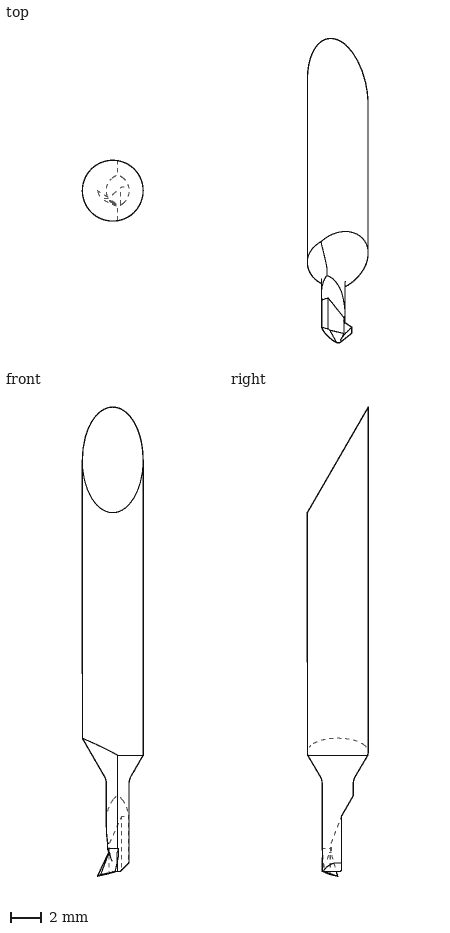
import cadquery as cq
import math

length = 30.7
shank_radius = 2.0
top_bevel_angle = 60.0

neck_radius = 1.07
axis_offset = 0.65
cone_base_z = 7.92
cone_half_angle = 30.0
neck_fillet = 1.0
bar_end_z = 0.3
end_bevel_top_z = 0.9
end_bevel_x = 0.5

tip_x = -1.0
flute_root = (-0.25, -0.45)
flute_ledge = (0.58, 0.25)
runout_bend_z = 3.93
runout_angle = 60.0
runout_steep_angle = 69.0

shoulder_z = 1.8
throat_z = 1.57
core_step = 0.05
wedge_shift = 0.58
land_corner = (-0.83, -0.52)
heel = (0.15, -1.05)
joint_bottom_x = 0.15
joint_top_x = 0.43
end_clearance_angle = 10.0
end_edge_angle = 7.0

margin = 3.07


def box_between(low, high):
    size = [b - a for a, b in zip(low, high)]
    return cq.Workplane("XY").box(*size, centered=False).translate(low)


def neck_form(outer_radius, axis_x):
    """Round bar and neck, joined by a cone with a rounded foot."""
    slope = math.radians(cone_half_angle)
    sharp_z = cone_base_z - (shank_radius - neck_radius) / math.tan(slope)
    shoulder_top_z = cone_base_z + (outer_radius - shank_radius) / math.tan(slope)
    neck_top_z = sharp_z - neck_fillet * math.tan(slope / 2)

    def fillet_point(angle):
        radius = neck_radius + neck_fillet * (1 - math.cos(angle))
        return radius, neck_top_z + neck_fillet * math.sin(angle)

    return (
        cq.Workplane("XZ")
        .moveTo(0, 0)
        .lineTo(neck_radius, 0)
        .lineTo(neck_radius, neck_top_z)
        .threePointArc(fillet_point(slope / 2), fillet_point(slope))
        .lineTo(outer_radius, shoulder_top_z)
        .lineTo(outer_radius, length)
        .lineTo(0, length)
        .close()
        .revolve(360, (0, 0, 0), (0, 1, 0))
        .translate((axis_x, 0, 0))
    )


def top_bevel():
    drop = 2 * shank_radius * math.tan(math.radians(top_bevel_angle))
    return (
        cq.Workplane("YZ")
        .polyline([(shank_radius, length), (-shank_radius, length - drop), (-shank_radius, length)])
        .close()
        .extrude(shank_radius, both=True)
    )


def end_bevel():
    """Flat lower end with a slanted corner on the +X side."""
    slope = (end_bevel_top_z - bar_end_z) / (neck_radius - end_bevel_x)
    return (
        cq.Workplane("XZ")
        .polyline([
            (-margin, -margin),
            (-margin, bar_end_z),
            (end_bevel_x, bar_end_z),
            (margin, bar_end_z + slope * (margin - end_bevel_x)),
            (margin, -margin),
        ])
        .close()
        .extrude(margin, both=True)
    )


def chip_flute():
    channel = (
        cq.Workplane("XY")
        .polyline([
            (-margin, margin),
            (-margin, 0),
            (tip_x, 0),
            flute_root,
            flute_ledge,
            (margin, flute_ledge[1]),
            (margin, margin),
        ])
        .close()
        .extrude(cone_base_z)
    )
    bend_y = flute_ledge[1]
    rise = margin * math.tan(math.radians(runout_angle))
    fall = margin * math.tan(math.radians(runout_steep_angle))
    below_runout = (
        cq.Workplane("YZ")
        .polyline([
            (bend_y - margin, runout_bend_z - fall),
            (bend_y, runout_bend_z),
            (bend_y + margin, runout_bend_z + rise),
            (bend_y + margin, runout_bend_z - fall),
        ])
        .close()
        .extrude(margin, both=True)
    )
    return channel.intersect(below_runout)


def tip_space():
    """Region below the shoulder, on the -X side of the slanted joint and ending at the flute root."""
    side_space = (
        cq.Workplane("XZ")
        .polyline([
            (-margin, 0),
            (joint_bottom_x, 0),
            (joint_bottom_x, bar_end_z),
            (joint_top_x, throat_z),
            (joint_top_x, shoulder_z),
            (-margin, shoulder_z),
        ])
        .close()
        .extrude(margin, both=True)
    )
    root_space = (
        cq.Workplane("XY")
        .polyline([
            (-margin, margin),
            (flute_root[0], margin),
            flute_root,
            (joint_top_x, -neck_radius),
            (joint_top_x, -margin),
            (-margin, -margin),
        ])
        .close()
        .extrude(shoulder_z)
    )
    return side_space.intersect(root_space)


def tip_core():
    """Continuation of the neck, stepped in on its -X side through a tapered throat."""
    core_radius = neck_radius - core_step
    offset_core = (
        cq.Workplane("XZ")
        .polyline([
            (0, 0),
            (core_radius, 0),
            (core_radius, throat_z),
            (neck_radius, shoulder_z),
            (0, shoulder_z),
        ])
        .close()
        .revolve(360, (0, 0, 0), (0, 1, 0))
        .translate((axis_offset, 0, 0))
    )
    central_core = cq.Workplane("XY").circle(neck_radius).extrude(shoulder_z)
    return offset_core.intersect(central_core)


def cutting_wedge():
    """Leaning wedge with a narrow land behind the cutting edge and a relieved heel."""
    outline = [(tip_x, neck_radius), (tip_x, 0), land_corner, heel, (neck_radius, neck_radius)]
    shifted = [(x + wedge_shift, y) for x, y in outline]
    wedge = (
        cq.Workplane("XY")
        .polyline(outline)
        .close()
        .workplane(offset=throat_z)
        .polyline(shifted)
        .close()
        .loft(ruled=True)
    )
    return wedge.intersect(cq.Workplane("XY").circle(neck_radius).extrude(throat_z))


def end_clearance():
    """Space below the end face, which rises away from the cutting point in X and in Y."""
    return (
        box_between((-margin, -margin, -margin), (margin, margin, 0))
        .rotate((0, 0, 0), (1, 0, 0), -end_clearance_angle)
        .rotate((0, 0, 0), (0, 1, 0), -end_edge_angle)
        .translate((tip_x, 0, 0))
    )


flute = chip_flute()

offset_form_radius = shank_radius + 2 * axis_offset
bar = (
    neck_form(shank_radius, 0)
    .intersect(neck_form(offset_form_radius, axis_offset))
    .cut(top_bevel())
    .cut(end_bevel())
    .cut(flute)
    .cut(tip_space())
)

cutting_tip = (
    tip_core()
    .union(cutting_wedge())
    .intersect(tip_space())
    .cut(end_clearance())
    .cut(flute)
)

result = cq.Compound.makeCompound([bar.solids().val(), cutting_tip.solids().val()])